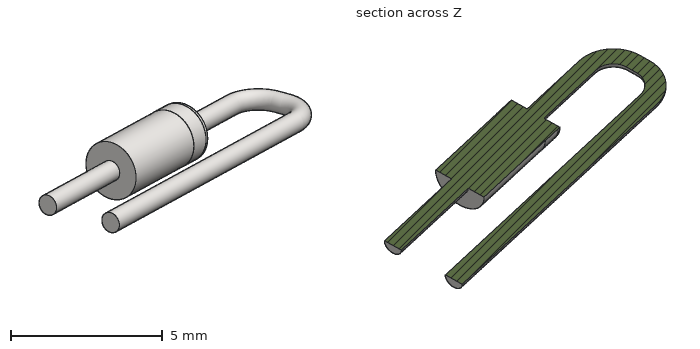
import cadquery as cq

total_length = 11.88
lead_pitch = 2.54
wire_diameter = 0.71
bend_radius = 1.07

body_length = 4.07
body_diameter = 2.03
band_diameter = 2.04
band_width = 0.69
band_inset = 0.11
free_lead_length = 3.59

bend_start_y = total_length - wire_diameter / 2 - bend_radius
bend_top_y = bend_start_y + bend_radius
body_end_y = free_lead_length + body_length
band_start_y = body_end_y - band_inset - band_width


def cylinder_along_y(diameter, start_y, length):
    """Solid cylinder on the Y axis, growing towards +Y."""
    plane = cq.Workplane("XZ", origin=(0, start_y, 0))
    return plane.circle(diameter / 2).extrude(-length)


def bent_lead():
    """Round wire running up through the body, over two bends and back down."""
    path = (
        cq.Workplane("XY")
        .lineTo(0, bend_start_y)
        .radiusArc((bend_radius, bend_top_y), bend_radius)
        .lineTo(lead_pitch - bend_radius, bend_top_y)
        .radiusArc((lead_pitch, bend_start_y), bend_radius)
        .lineTo(lead_pitch, 0)
    )
    return cq.Workplane("XZ").circle(wire_diameter / 2).sweep(path)


body = cylinder_along_y(body_diameter, free_lead_length, body_length)
band = cylinder_along_y(band_diameter, band_start_y, band_width)

result = body.union(band).union(bent_lead())